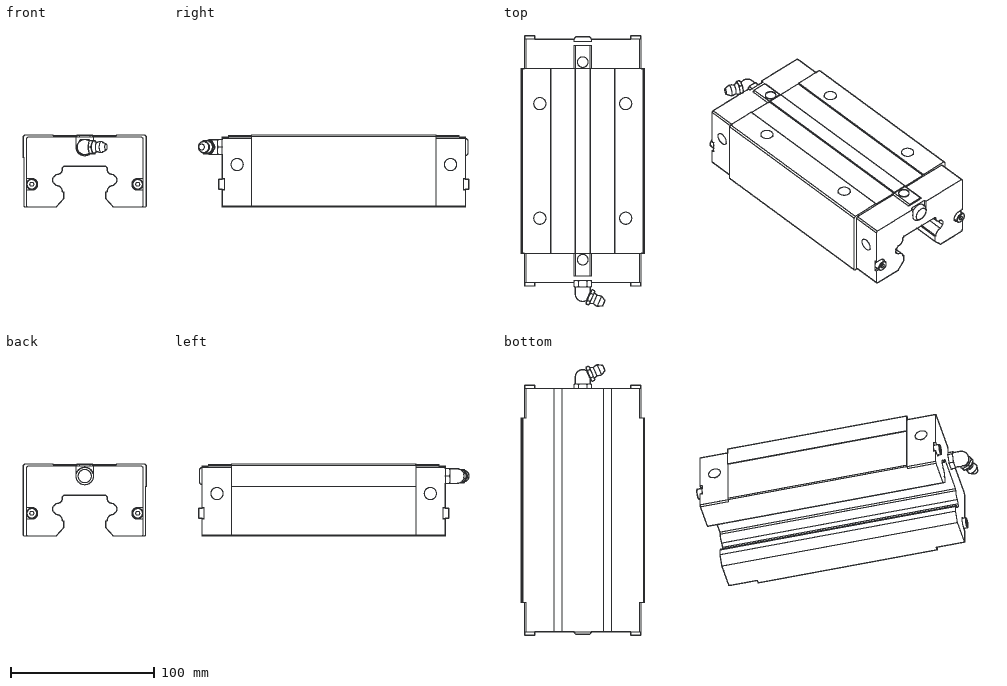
import cadquery as cq
import math


block_width = 86.0
block_length = 129.0
block_height = 50.5
relief_depth = 0.5
pad_inner_x = 22.0
ridge_half_width = 5.0
reference_bottom = 34.6
block_top_chamfer = 1.1
block_bottom_chamfer = 0.7

hole_pitch_x = 60.0
hole_pitch_y = 80.0
hole_diameter = 8.5
hole_depth = 17.0
drill_point_angle = 118.0

cap_width = 81.6
cap_height = 48.9
cap_chamfer = 1.0
cap_end_y = 80.5
seal_end_y = 85.0

lube_pad_height = 1.0
lube_pad_base_width = 12.2
lube_pad_top_width = 10.0
lube_recess_diameter = 7.4
lube_recess_depth = 0.5
lube_recess_y = 69.0

side_port_diameter = 8.5
side_port_depth = 8.0
side_port_y = 74.5
side_port_z = 29.8

passage_top_z = 28.5
passage_neck_x = 15.6
passage_neck_chamfer = 1.0
upper_race_z = 26.0
groove_z = 19.0
groove_half_height = 3.8
groove_edge_x = 19.8
groove_x = 22.4
groove_floor_x = 22.0
groove_floor_half_height = 1.7
lower_race_z = 10.7
lip_x = 14.6
lip_bottom_z = 6.0
mouth_x = 20.0

pocket_floor_y = 83.5
port_z = 42.0
port_pocket_radius = 6.1

screw_x = 37.0
screw_z = 16.0
screw_pocket_radius = 4.1
screw_head_diameter = 7.2
screw_end_y = 87.5
socket_across_flats = 2.7
socket_depth = 2.0
screw_edge_chamfer = 0.3

plug_diameter = 12.0
plug_end_y = 86.75
plug_crown_diameter = 11.2
plug_crown_y = 86.0
plug_end_diameter = 9.2

nipple_nut_across_flats = 10.6
nipple_nut_end_y = 88.1
nut_edge_chamfer = 0.5
elbow_diameter = 10.5
elbow_y = 92.95
branch_angle = 23.5
branch_nut_across_flats = 9.5
branch_nut_start = 4.6
branch_nut_end = 7.0
collar_radius = 4.3
neck_radius = 3.2
neck_position = 9.4
head_radius = 3.94
head_swell_radius = 3.7
head_swell_position = 10.9
head_end = 12.7
tip_radius = 2.1
tip_position = 16.1

HEX_CORNER_RATIO = 2 / math.sqrt(3)
SIDES = (-1, 1)


def extrude_along_y(profile, start, end):
    """Extrude an XZ profile from y = start to y = end."""
    return profile.extrude(-(end - start)).translate((0, start, 0))


def y_cylinder(diameter, x, z, start, end):
    """Cylinder or disk whose axis runs along Y."""
    low, high = min(start, end), max(start, end)
    return extrude_along_y(cq.Workplane("XZ").center(x, z).circle(diameter / 2), low, high)


def hex_prism(across_flats, thickness):
    """Hexagonal nut along +Z with two corners on the X axis and its corners bevelled."""
    across_corners = across_flats * HEX_CORNER_RATIO
    prism = cq.Workplane("XY").polygon(6, across_corners).extrude(thickness)
    bevel = cq.Workplane("XY").circle(across_corners / 2).extrude(thickness)
    return prism.intersect(bevel.faces("<Z or >Z").chamfer(nut_edge_chamfer))


def make_block():
    """Steel block with raised mounting pads, a centre ridge and a reference face on -X."""
    right = block_width / 2
    lower_left = -right + relief_depth
    relief_z = block_height - relief_depth
    top, bottom = block_top_chamfer, block_bottom_chamfer
    outline = [
        (lower_left + bottom, 0),
        (right - bottom, 0),
        (right, bottom),
        (right, block_height - top),
        (right - top, block_height),
        (pad_inner_x + relief_depth, block_height),
        (pad_inner_x, relief_z),
        (ridge_half_width + relief_depth, relief_z),
        (ridge_half_width, block_height),
        (-ridge_half_width, block_height),
        (-ridge_half_width - relief_depth, relief_z),
        (-pad_inner_x, relief_z),
        (-pad_inner_x - relief_depth, block_height),
        (-right + top, block_height),
        (-right, block_height - top),
        (-right, reference_bottom),
        (lower_left, reference_bottom),
        (lower_left, bottom),
    ]
    profile = cq.Workplane("XZ").polyline(outline).close()
    return extrude_along_y(profile, -block_length / 2, block_length / 2)


def mounting_holes():
    """Four blind drilled holes with conical bottoms."""
    radius = hole_diameter / 2
    point_depth = radius / math.tan(math.radians(drill_point_angle / 2))
    floor_z = block_height - hole_depth
    drill = (
        cq.Workplane("XZ")
        .polyline([(0, block_height), (radius, block_height), (radius, floor_z), (0, floor_z - point_depth)])
        .close()
        .revolve(360, (0, 0), (0, 1))
    )
    centres = cq.Workplane("XY").rarray(hole_pitch_x, hole_pitch_y, 2, 2).vals()
    holes = cq.Workplane("XY")
    for centre in centres:
        holes = holes.add(drill.translate(centre.toTuple()))
    return holes.combine()


def cap_section(start, end):
    """Length of cap profile between two Y positions, with all four long edges chamfered."""
    return (
        cq.Workplane("XY")
        .box(cap_width, end - start, cap_height, centered=(True, False, False))
        .edges("|Y")
        .chamfer(cap_chamfer)
        .translate((0, start, 0))
    )


def make_end(side):
    """End cap, lubrication pad and seal plate at one end (side is -1 or +1)."""

    def span(inner, outer):
        return sorted((side * inner, side * outer))

    cap = cap_section(*span(block_length / 2, cap_end_y))
    seal = cap_section(*span(cap_end_y, seal_end_y))

    pad_outline = [
        (-lube_pad_base_width / 2, cap_height),
        (lube_pad_base_width / 2, cap_height),
        (lube_pad_top_width / 2, cap_height + lube_pad_height),
        (-lube_pad_top_width / 2, cap_height + lube_pad_height),
    ]
    pad_profile = cq.Workplane("XZ").polyline(pad_outline).close()
    pad = extrude_along_y(pad_profile, *span(block_length / 2, cap_end_y))
    recess = (
        cq.Workplane("XY", origin=(0, side * lube_recess_y, cap_height + lube_pad_height))
        .circle(lube_recess_diameter / 2)
        .extrude(-lube_recess_depth)
    )

    cap = cap.union(pad, clean=False).cut(recess)
    for direction in SIDES:
        port = (
            cq.Workplane("YZ", origin=(direction * cap_width / 2, side * side_port_y, side_port_z))
            .circle(side_port_diameter / 2)
            .extrude(-direction * side_port_depth)
        )
        cap = cap.cut(port)
    return cap.union(seal.cut(end_pockets(side)), clean=False)


def end_pockets(side):
    """Shallow pockets in a seal plate: one open to the top, two open to the sides."""
    low, high = sorted((side * pocket_floor_y, side * seal_end_y))
    depth = high - low
    middle = (low + high) / 2

    pockets = y_cylinder(2 * port_pocket_radius, 0, port_z, low, high)
    rise = cap_height - port_z
    pockets = pockets.union(
        cq.Workplane("XY").box(2 * port_pocket_radius, depth, rise).translate((0, middle, port_z + rise / 2))
    )
    run = cap_width / 2 - screw_x
    for direction in SIDES:
        x = direction * screw_x
        pockets = pockets.union(y_cylinder(2 * screw_pocket_radius, x, screw_z, low, high))
        pockets = pockets.union(
            cq.Workplane("XY")
            .box(run, depth, 2 * screw_pocket_radius)
            .translate((x + direction * run / 2, middle, screw_z))
        )
    return pockets


def rail_passage():
    """Full-length rail passage, made from its +X half and the mirror image of it."""
    groove_top = groove_z + groove_half_height
    groove_bottom = groove_z - groove_half_height
    bulge = 1 - math.sqrt(0.5)

    upper_mid = (
        passage_neck_x + bulge * (groove_edge_x - passage_neck_x),
        groove_top + bulge * (upper_race_z - groove_top),
    )
    lower_mid = (
        passage_neck_x + bulge * (groove_edge_x - passage_neck_x),
        groove_bottom - bulge * (groove_bottom - lower_race_z),
    )
    half = (
        cq.Workplane("XZ")
        .moveTo(0, 0)
        .lineTo(0, passage_top_z)
        .lineTo(passage_neck_x - passage_neck_chamfer, passage_top_z)
        .lineTo(passage_neck_x, passage_top_z - passage_neck_chamfer)
        .lineTo(passage_neck_x, upper_race_z)
        .threePointArc(upper_mid, (groove_edge_x, groove_top))
        .lineTo(groove_floor_x, groove_z + groove_floor_half_height)
        .threePointArc((groove_x, groove_z), (groove_floor_x, groove_z - groove_floor_half_height))
        .lineTo(groove_edge_x, groove_bottom)
        .threePointArc(lower_mid, (passage_neck_x, lower_race_z))
        .lineTo(lip_x, lower_race_z)
        .lineTo(lip_x, lip_bottom_z)
        .lineTo(mouth_x, 0)
        .close()
    )
    solid = extrude_along_y(half, -seal_end_y, seal_end_y)
    return solid.union(solid.mirror("YZ"))


def make_screw(side, x):
    """Socket head of a seal plate screw, standing on its pocket floor."""
    head = y_cylinder(screw_head_diameter, x, screw_z, side * pocket_floor_y, side * screw_end_y)
    outer_face = "<Y" if side < 0 else ">Y"
    head = head.faces(outer_face).chamfer(screw_edge_chamfer)
    socket_profile = cq.Workplane("XZ").center(x, screw_z).polygon(6, socket_across_flats * HEX_CORNER_RATIO)
    ends = sorted((side * (screw_end_y - socket_depth), side * screw_end_y))
    return head.cut(extrude_along_y(socket_profile, *ends))


def make_plug():
    """Plug whose side curves in from the pocket floor to a flat end."""
    return (
        cq.Workplane("XY")
        .moveTo(0, pocket_floor_y)
        .lineTo(plug_diameter / 2, pocket_floor_y)
        .threePointArc((plug_crown_diameter / 2, plug_crown_y), (plug_end_diameter / 2, plug_end_y))
        .lineTo(0, plug_end_y)
        .close()
        .revolve(360, (0, 0), (0, 1))
        .translate((0, 0, port_z))
    )


def make_nipple():
    """Angled grease nipple: nut, elbow with a ball end, and a branch with its own nut."""
    nut = (
        hex_prism(nipple_nut_across_flats, nipple_nut_end_y - pocket_floor_y)
        .rotate((0, 0, 0), (1, 0, 0), 90)
        .translate((0, -pocket_floor_y, port_z))
    )
    stem = y_cylinder(elbow_diameter, 0, port_z, -pocket_floor_y, -elbow_y)
    ball = cq.Workplane("XY").sphere(elbow_diameter / 2).translate((0, -elbow_y, port_z))

    branch_nut = (
        hex_prism(branch_nut_across_flats, branch_nut_end - branch_nut_start)
        .rotate((0, 0, 0), (0, 0, 1), 90)
        .translate((0, 0, branch_nut_start))
    )
    spout = (
        cq.Workplane("XZ")
        .moveTo(0, 0)
        .lineTo(neck_radius, 0)
        .lineTo(neck_radius, branch_nut_start)
        .lineTo(collar_radius, branch_nut_end)
        .lineTo(neck_radius, neck_position)
        .threePointArc((head_swell_radius, head_swell_position), (head_radius, head_end))
        .lineTo(tip_radius, tip_position)
        .lineTo(0, tip_position)
        .close()
        .revolve(360, (0, 0), (0, 1))
    )
    branch = (
        spout.union(branch_nut)
        .rotate((0, 0, 0), (0, 1, 0), 90)
        .rotate((0, 0, 0), (0, 0, 1), -branch_angle)
        .translate((0, -elbow_y, port_z))
    )
    return nut.union(stem).union(ball).union(branch)


carriage = make_block().cut(mounting_holes())
for end in SIDES:
    carriage = carriage.union(make_end(end), clean=False)
carriage = carriage.cut(rail_passage(), clean=False)

for end in SIDES:
    for direction in SIDES:
        carriage = carriage.union(make_screw(end, direction * screw_x), clean=False)

carriage = carriage.union(make_plug(), clean=False)
result = carriage.union(make_nipple(), clean=False)